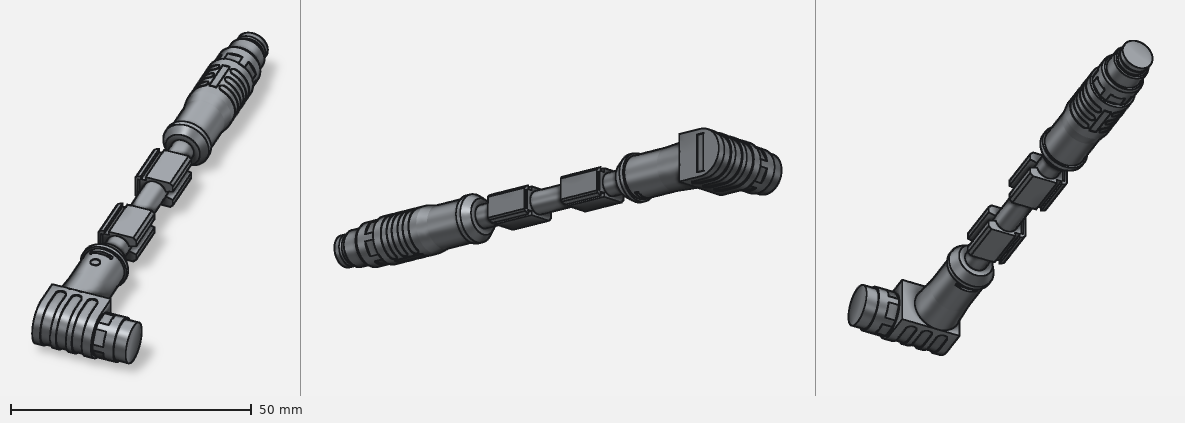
import cadquery as cq

cable_dia = 5.0
body_dia = 10.3
body_radius = body_dia / 2
sleeve_dia = 9.4
ring_dia = 9.6
gap_dia = 9.1
relief_end_dia = 7.7
total_length = 107.5
over = 1.1

tip_dia = 6.9
tip_groove_dia = 6.5
tip_groove_start, tip_groove_end = 104.7, 105.7
tip_rim_start = 106.2
nose_dia = 8.0
nose_chamfer = 0.3
ring_lead_dia = 8.8
ring_lead_start, ring_lead_end = 100.2, 100.8
straight_gap_start, straight_gap_end = 95.4, 95.6
grip_end = 83.4
grip_cone_end = 80.8
straight_collar_start, straight_collar_end = 71.3, 72.5
straight_relief_end = 69.4

grip_pitch = 3.0
grip_middle = 89.4
grip_groove_width = 1.6
grip_groove_start = 1.3
grip_groove_depth = 0.16
bar_width = 1.6
bar_length = 7.4
bar_depth = 0.2

angled_relief_end = 29.6
angled_collar_start, angled_collar_end = 26.4, 27.4
angled_sleeve_end = 17.5
head_top = 11.0
key_start, key_end = 24.8, 25.6
key_floor = 4.0
mark_dia = 2.0
mark_place = 21.9
mark_depth = 0.2

head_end = 8.1
angled_gap_end = 8.3
angled_ring_end = 12.9
spigot_end = 15.6
spigot_dia = 8.8
head_groove_width = 2.3
head_groove_pitch = 3.5
head_groove_middle = 1.3
head_groove_top = 9.7
head_groove_depth = 0.3
panel_width = 1.8
panel_length = 8.2
panel_depth = 0.3

window_count = 6
window_width = 3.3
window_length = 2.4
window_floor = 4.4

clip_length = 10.0
clip_starts = (34.3, 54.3)
clip_half_height = 3.1
clip_left, clip_right = -2.0, 4.1
clip_chamfer = 0.6
clip_neck_left = -3.1
clip_neck_half_height = 2.3
plate_left = -4.4
plate_half_height = 3.1
plate_shoulder_x, plate_shoulder_half_height = -4.1, 2.7
plate_edge_half_height = 2.3
plate_slot_left, plate_slot_right = -3.9, -3.4
plate_slot_half_height = 1.9
mouth_half_height = 1.1
mouth_bottom, mouth_bottom_half_height = 2.2, 0.5


def turned(steps):
    """Solid of revolution around Y from (diameter, place along Y) steps."""
    outline = [(0, steps[0][1])]
    outline += [(dia / 2, place) for dia, place in steps]
    outline.append((0, steps[-1][1]))
    profile = cq.Workplane("XY").polyline(outline).close()
    return profile.revolve(360, (0, 0, 0), (0, 1, 0))


def rod_along_x(dia, start, end):
    """Cylinder parallel to X on the axis of the angled plug's head."""
    return (
        cq.Workplane("YZ", origin=(start, body_radius, 0))
        .circle(dia / 2)
        .extrude(end - start)
    )


def block(x_range, y_range, z_range):
    """Box given by its limits on the three axes."""
    limits = (x_range, y_range, z_range)
    sizes = [high - low for low, high in limits]
    centre = tuple((low + high) / 2 for low, high in limits)
    return cq.Workplane("XY").box(*sizes).translate(centre)


def head_shape(radius, start, end):
    """Head outline with a half-round nose, as a prism along X."""
    nose = rod_along_x(2 * radius, start, end)
    back = block((start, end), (body_radius, head_top), (-radius, radius))
    return nose.union(back)


def make_straight_plug():
    plug = turned([
        (relief_end_dia, straight_relief_end),
        (body_dia, straight_collar_start),
        (body_dia, straight_collar_end),
        (sleeve_dia, straight_collar_end),
        (sleeve_dia, grip_cone_end),
        (body_dia, grip_end),
        (body_dia, straight_gap_start),
        (gap_dia, straight_gap_start),
        (gap_dia, straight_gap_end),
        (ring_dia, straight_gap_end),
        (ring_dia, ring_lead_start),
        (ring_lead_dia, ring_lead_end),
        (nose_dia, ring_lead_end),
        (nose_dia, tip_groove_start - nose_chamfer),
        (nose_dia - 2 * nose_chamfer, tip_groove_start),
        (tip_groove_dia, tip_groove_start),
        (tip_groove_dia, tip_groove_end),
        (tip_dia, tip_rim_start),
        (tip_dia, total_length),
    ])

    core = turned([
        (body_dia - 2 * grip_groove_depth, grip_end),
        (body_dia - 2 * grip_groove_depth, straight_gap_start),
    ])
    reach = body_radius + over
    round_centre = grip_groove_start + grip_groove_width / 2
    groove_length = 2 * (reach - grip_groove_start)
    groove_centre = round_centre + (groove_length - grip_groove_width) / 2
    for row in (-1, 0, 1):
        place = grip_middle + row * grip_pitch
        for side in (-1, 1):
            groove = (
                cq.Workplane("XY", origin=(side * groove_centre, place, -reach))
                .slot2D(groove_length, grip_groove_width)
                .extrude(2 * reach)
            )
            plug = plug.cut(groove.cut(core))

    bar_floor = body_radius - bar_depth
    bar_x = (-bar_width / 2, bar_width / 2)
    bar_y = (grip_middle - bar_length / 2, grip_middle + bar_length / 2)
    plug = plug.cut(block(bar_x, bar_y, (bar_floor, reach)))
    plug = plug.cut(block(bar_x, bar_y, (-reach, -bar_floor)))

    window = block(
        (-window_width / 2, window_width / 2),
        (straight_gap_end, straight_gap_end + window_length),
        (window_floor, reach),
    )
    for index in range(window_count):
        angle = index * 360 / window_count
        plug = plug.cut(window.rotate((0, 0, 0), (0, 1, 0), angle))
    return plug


def make_angled_sleeve():
    sleeve = turned([
        (body_dia, head_top),
        (sleeve_dia, angled_sleeve_end),
        (sleeve_dia, angled_collar_start),
        (body_dia, angled_collar_start),
        (body_dia, angled_collar_end),
        (relief_end_dia, angled_relief_end),
    ])
    reach = body_radius + over
    for low, high in ((key_floor, reach), (-reach, -key_floor)):
        sleeve = sleeve.cut(block((-reach, reach), (key_start, key_end), (low, high)))
    mark_floor = sleeve_dia / 2 - mark_depth
    mark = (
        cq.Workplane("XY", origin=(0, mark_place, mark_floor))
        .circle(mark_dia / 2)
        .extrude(over)
    )
    return sleeve.cut(mark)


def make_angled_head():
    head = head_shape(body_radius, -body_radius, head_end)

    core = head_shape(body_radius - head_groove_depth, -body_radius, head_end)
    reach = body_radius + over
    groove_length = 2 * head_groove_top
    for row in (-1, 0, 1):
        place = head_groove_middle + row * head_groove_pitch
        groove = (
            cq.Workplane("XY", origin=(place, 0, -reach))
            .slot2D(groove_length, head_groove_width, 90)
            .extrude(2 * reach)
        )
        head = head.cut(groove.cut(core))

    panel = block(
        (-body_radius, -body_radius + panel_depth),
        (body_radius - panel_width / 2, body_radius + panel_width / 2),
        (-panel_length / 2, panel_length / 2),
    )
    return head.cut(panel)


def make_spigot():
    ring = rod_along_x(ring_dia, angled_gap_end, angled_ring_end)
    window = block(
        (angled_gap_end, angled_gap_end + window_length),
        (body_radius - window_width / 2, body_radius + window_width / 2),
        (window_floor, body_radius + over),
    )
    axis_start, axis_end = (0, body_radius, 0), (1, body_radius, 0)
    for index in range(window_count):
        angle = index * 360 / window_count
        ring = ring.cut(window.rotate(axis_start, axis_end, angle))
    gap = rod_along_x(gap_dia, head_end, angled_gap_end)
    end = rod_along_x(spigot_dia, angled_ring_end, spigot_end)
    return ring.union(gap).union(end)


def clip_prism(upper_half, start):
    """Prism along Y, mirrored in Z, from the upper half of its XZ outline."""
    lower_half = [(x, -z) for x, z in reversed(upper_half)]
    return (
        cq.Workplane("XZ", origin=(0, start + clip_length, 0))
        .polyline(upper_half + lower_half)
        .close()
        .extrude(clip_length)
    )


def make_clip(start):
    """Label clip: box around the cable, necked to a slotted side plate."""
    box = clip_prism([
        (clip_left, clip_half_height),
        (clip_right - clip_chamfer, clip_half_height),
        (clip_right, clip_half_height - clip_chamfer),
        (clip_right, mouth_half_height),
        (mouth_bottom, mouth_bottom_half_height),
    ], start)
    neck = clip_prism([
        (clip_neck_left, clip_neck_half_height),
        (clip_left, clip_neck_half_height),
    ], start)
    plate = clip_prism([
        (plate_left, plate_edge_half_height),
        (plate_shoulder_x, plate_shoulder_half_height),
        (clip_neck_left, plate_half_height),
    ], start)
    slot = clip_prism([
        (plate_slot_left, plate_slot_half_height),
        (plate_slot_right, plate_slot_half_height),
    ], start)
    return box.union(neck).union(plate.cut(slot))


result = turned([(cable_dia, head_top), (cable_dia, straight_relief_end)])
result = result.union(make_straight_plug())
result = result.union(make_angled_sleeve())
result = result.union(make_angled_head())
result = result.union(make_spigot())
for clip_start in clip_starts:
    result = result.union(make_clip(clip_start))